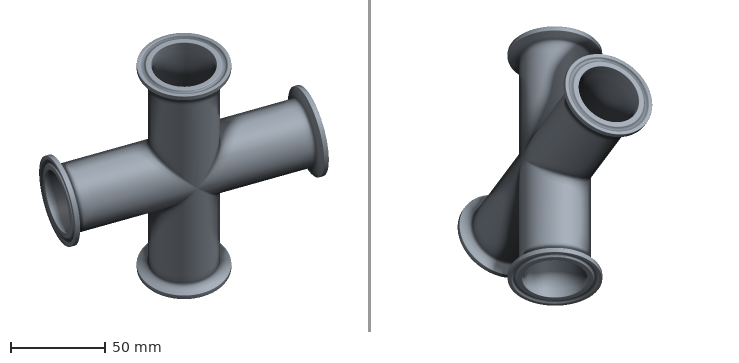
import cadquery as cq
import math

half_length = 146.0 / 2
tube_radius = 38.1 / 2
bore_radius = 34.8 / 2
saddle_fillet = 1.5

ferrule_length = 12.7
tube_half_length = half_length - ferrule_length
flange_radius = 50.4 / 2
rim_thickness = 2.8
cone_angle = 21.0
neck_fillet = 1.3
rim_fillet = 0.3
bore_edge_fillet = 0.3

groove_radius = 21.8
groove_half_width = 1.24
groove_depth = 1.2
groove_lip_fillet = 0.7

TURNS_ABOUT_X = (0, 90, 180, 270)


def crossed_cylinders(radius):
    """Two equal cylinders along Z and Y, ending at the ferrules."""
    vertical = cq.Workplane("XY").circle(radius).extrude(tube_half_length, both=True)
    horizontal = cq.Workplane("XZ").circle(radius).extrude(tube_half_length, both=True)
    return vertical.union(horizontal)


def tube_cross():
    """Hollow tubes, open to each other, with the outer saddle edges rounded."""
    outside = crossed_cylinders(tube_radius).edges("%ELLIPSE").fillet(saddle_fillet)
    return outside.cut(crossed_cylinders(bore_radius))


def revolved_about_z(profile):
    """Full turn about Z of a closed profile drawn in the XZ plane."""
    return profile.revolve(360, (0, 0, 0), (0, 1, 0))


def fillet_circle(body, radius, height, fillet_radius):
    """Round the circular edge around the Z axis at the given radius and height."""
    margin = 0.01
    near_edge = cq.selectors.BoxSelector(
        (radius - margin, -margin, height - margin),
        (radius + margin, margin, height + margin),
    )
    seam_point = body.vertices(near_edge).val()
    circle = [edge for edge in body.edges("%CIRCLE").vals() if edge.distance(seam_point) < margin]
    return body.newObject(circle).fillet(fillet_radius)


def ferrule():
    """Ring on the +Z tube: short neck, conical flange with a flat rim, and gasket groove."""
    cone_height = (flange_radius - tube_radius) * math.tan(math.radians(cone_angle))
    rim_bottom = half_length - rim_thickness
    cone_bottom = rim_bottom - cone_height
    groove_inner = groove_radius - groove_half_width
    groove_outer = groove_radius + groove_half_width

    body = revolved_about_z(
        cq.Workplane("XZ")
        .moveTo(bore_radius, half_length)
        .lineTo(groove_inner, half_length)
        .threePointArc((groove_radius, half_length - groove_depth), (groove_outer, half_length))
        .lineTo(flange_radius, half_length)
        .lineTo(flange_radius, rim_bottom)
        .lineTo(tube_radius, cone_bottom)
        .lineTo(tube_radius, tube_half_length)
        .lineTo(bore_radius, tube_half_length)
        .close()
    )
    rounded_edges = (
        (tube_radius, cone_bottom, neck_fillet),
        (flange_radius, rim_bottom, rim_fillet),
        (flange_radius, half_length, rim_fillet),
        (groove_outer, half_length, groove_lip_fillet),
        (groove_inner, half_length, groove_lip_fillet),
        (bore_radius, half_length, bore_edge_fillet),
    )
    for radius, height, fillet_radius in rounded_edges:
        body = fillet_circle(body, radius, height, fillet_radius)
    return body


result = tube_cross()
end_ferrule = ferrule()
for turn in TURNS_ABOUT_X:
    result = result.union(end_ferrule.rotate((0, 0, 0), (1, 0, 0), turn), clean=False)